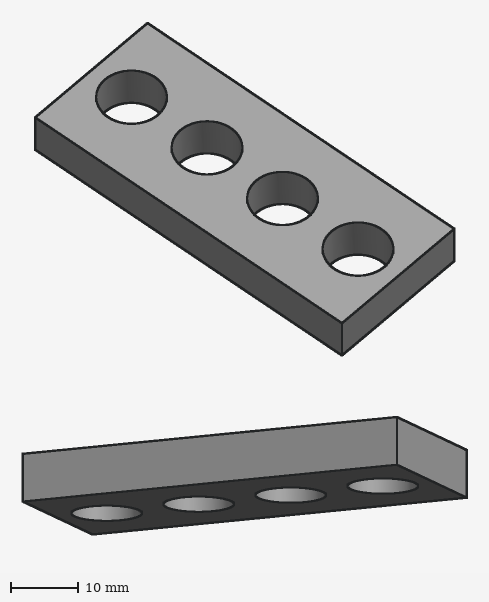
import cadquery as cq

length = 61.0
width = 25.0
thickness = 7.25

hole_count = 4
hole_diameter = 10.5
hole_pitch = 15.0

plate = cq.Workplane("XY").box(length, width, thickness)

result = (
    plate.faces(">Z")
    .workplane()
    .rarray(hole_pitch, 0.6, hole_count, 1)
    .hole(hole_diameter)
)